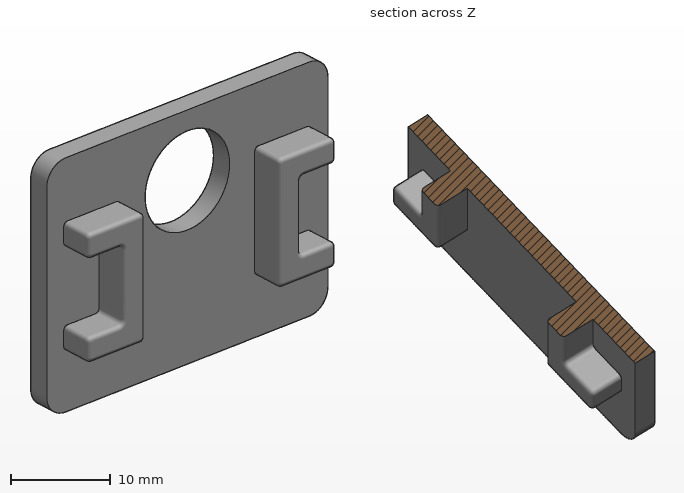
import cadquery as cq

plate_width = 37.3
plate_height = 28.7
plate_thickness = 2.5
plate_corner_radius = 2.5

hole_diameter = 11.2
hole_height = 6.38

total_depth = 6.3
lug_depth = total_depth - plate_thickness
lug_width = 7.5
lug_height = 14.5
lug_wall = 2.8
lug_side_margin = 2.25
lug_center_height = -0.1
lug_corner_radius = 0.52
lug_end_radius = 0.5


def make_plate():
    """Rounded rectangular plate with the round hole."""
    plate = (
        cq.Workplane("YZ")
        .rect(plate_width, plate_height)
        .extrude(plate_thickness)
        .edges("|X")
        .fillet(plate_corner_radius)
    )
    hole = (
        cq.Workplane("YZ")
        .center(0, hole_height)
        .circle(hole_diameter / 2)
        .extrude(plate_thickness)
    )
    return plate.cut(hole)


def make_lug():
    """U-shaped lug on the -Y half of the plate, opening toward -Y."""
    outer_y = -plate_width / 2 + lug_side_margin
    inner_y = outer_y + lug_width
    web_y = inner_y - lug_wall
    half_height = lug_height / 2
    half_gap = half_height - lug_wall
    outline = [
        (outer_y, -half_height),
        (inner_y, -half_height),
        (inner_y, half_height),
        (outer_y, half_height),
        (outer_y, half_gap),
        (web_y, half_gap),
        (web_y, -half_gap),
        (outer_y, -half_gap),
    ]
    return (
        cq.Workplane("YZ", origin=(plate_thickness, 0, lug_center_height))
        .polyline(outline)
        .close()
        .extrude(lug_depth)
        .edges("|X")
        .fillet(lug_corner_radius)
        .faces(">X")
        .fillet(lug_end_radius)
    )


lug = make_lug()
result = make_plate().union(lug).union(lug.mirror("XZ"))